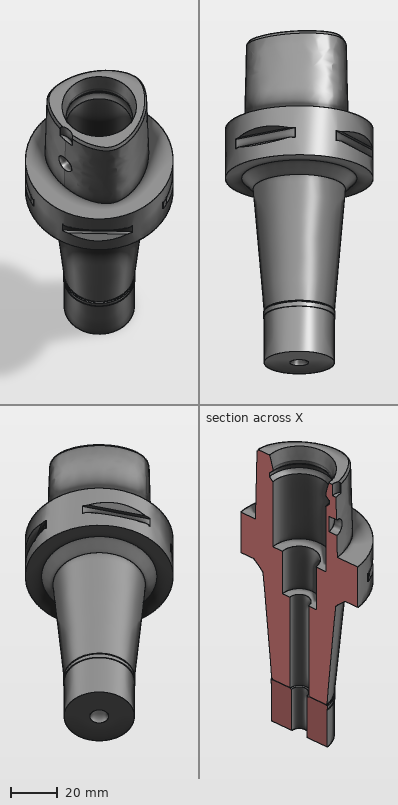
import cadquery as cq
import math

LENGTH = 143.0
FLANGE_TOP = 105.0
FLANGE_HEIGHT = 22.0
FLANGE_BOTTOM = FLANGE_TOP - FLANGE_HEIGHT
COLLAR_HEIGHT = 4.9
COLLAR_BOTTOM = FLANGE_BOTTOM - COLLAR_HEIGHT
NECK_TOP = 23.0
NUT_TOP = 22.5

FLANGE_RADIUS = 63.0 / 2
SHANK_TOP_RADIUS = 19.7
COLLAR_RADIUS = SHANK_TOP_RADIUS + COLLAR_HEIGHT
SHANK_END_RADIUS = 15.0
NECK_RADIUS = 14.6

LOBE_BASE_RADIUS = 22.2
LOBE_TOP_RADIUS = 21.3
LOBE_ECCENTRICITY = 1.6
HALF_OUTLINE_STEPS = 18
RIM_CHAMFER_HEIGHT = 1.5
RIM_CHAMFER_INSET = 0.9

MOUTH_RADIUS = 15.9
BORE_RADIUS = 14.2
MOUTH_ANGLE = 15.0
MOUTH_DEPTH = (MOUTH_RADIUS - BORE_RADIUS) / math.tan(math.radians(MOUTH_ANGLE))
GROOVE_START = 8.0
GROOVE_END = 13.6
GROOVE_RADIUS = 16.0
GROOVE_BEVEL = GROOVE_RADIUS - BORE_RADIUS
BORE_DEPTH = 48.6
BOLT_BORE_RADIUS = 9.0
BOLT_BORE_DEPTH = 71.5
PASSAGE_RADIUS = 5.0

NOTCH_WIDTH = 7.5
NOTCH_DEPTH = 6.0
NOTCH_WALL_RADIUS = 6.0
NOTCH_INNER_Y = -17.9
SIDE_HOLE_RADIUS = 4.0
SIDE_HOLE_Z = 120.7
SIDE_HOLE_FLOOR_Y = -16.0

SLOT_COUNT = 4
SLOT_FIRST_ANGLE = 45.0
SLOT_LENGTH = 29.9
SLOT_HEIGHT = 4.3
SLOT_Z = 93.1
SLOT_FLOOR_RADIUS = 27.5
SLOT_FLARE_RADIUS = 28.9
SLOT_FLARE_ANGLE = 33.0

NUT_RADIUS = 15.0
NUT_COLLAR_RADIUS = 15.3
NUT_COLLAR_HEIGHT = 2.1
NUT_BORE_RADIUS = 4.0


def lobed_edges(mean_radius, z):
    """Two halves of a three-lobed outline with one lobe toward +Y, split on the YZ plane."""
    def point(angle):
        lobe_phase = 3 * (angle - math.pi / 2)
        support = mean_radius + LOBE_ECCENTRICITY * math.cos(lobe_phase)
        slope = -3 * LOBE_ECCENTRICITY * math.sin(lobe_phase)
        x = support * math.cos(angle) - slope * math.sin(angle)
        y = support * math.sin(angle) + slope * math.cos(angle)
        return cq.Vector(x, y, z)

    step = math.pi / HALF_OUTLINE_STEPS
    points = [point(-math.pi / 2 + i * step) for i in range(HALF_OUTLINE_STEPS + 1)]
    right_half = cq.Edge.makeSpline(points, tangents=[cq.Vector(1, 0, 0), cq.Vector(-1, 0, 0)])
    return [right_half, right_half.mirror("YZ")]


def make_coupling():
    """Tapered three-lobed shank with a chamfered rim, closed from ruled and flat faces."""
    base = lobed_edges(LOBE_BASE_RADIUS, FLANGE_TOP)
    shoulder = lobed_edges(LOBE_TOP_RADIUS, LENGTH - RIM_CHAMFER_HEIGHT)
    rim = lobed_edges(LOBE_TOP_RADIUS - RIM_CHAMFER_INSET, LENGTH)
    faces = [cq.Face.makeFromWires(cq.Wire.assembleEdges(edges)) for edges in (base, rim)]
    for lower, upper in ((base, shoulder), (shoulder, rim)):
        for lower_edge, upper_edge in zip(lower, upper):
            faces.append(cq.Face.makeRuledSurface(lower_edge, upper_edge))
    return cq.Workplane(cq.Solid.makeSolid(cq.Shell.makeShell(faces)).fix())


def revolve_profile(points):
    """Solid of revolution about Z from (radius, z) points."""
    return cq.Workplane("XZ").polyline(points).close().revolve(360, (0, 0), (0, 1))


def make_turned_body():
    """Flange, 45 degree collar, tapered shank and short neck."""
    return revolve_profile([
        (0, NUT_TOP),
        (NECK_RADIUS, NUT_TOP),
        (NECK_RADIUS, NECK_TOP),
        (SHANK_END_RADIUS, NECK_TOP),
        (SHANK_TOP_RADIUS, COLLAR_BOTTOM),
        (COLLAR_RADIUS, FLANGE_BOTTOM),
        (FLANGE_RADIUS, FLANGE_BOTTOM),
        (FLANGE_RADIUS, FLANGE_TOP),
        (0, FLANGE_TOP),
    ])


def make_bore():
    """Stepped bore with a conical mouth and a bevelled internal groove."""
    return revolve_profile([
        (0, LENGTH),
        (MOUTH_RADIUS, LENGTH),
        (BORE_RADIUS, LENGTH - MOUTH_DEPTH),
        (BORE_RADIUS, LENGTH - GROOVE_START),
        (GROOVE_RADIUS, LENGTH - GROOVE_START - GROOVE_BEVEL),
        (GROOVE_RADIUS, LENGTH - GROOVE_END + GROOVE_BEVEL),
        (BORE_RADIUS, LENGTH - GROOVE_END),
        (BORE_RADIUS, LENGTH - BORE_DEPTH),
        (BOLT_BORE_RADIUS, LENGTH - BORE_DEPTH),
        (BOLT_BORE_RADIUS, LENGTH - BOLT_BORE_DEPTH),
        (PASSAGE_RADIUS, LENGTH - BOLT_BORE_DEPTH),
        (PASSAGE_RADIUS, NUT_TOP),
        (0, NUT_TOP),
    ])


def make_key_notch():
    """Straight-sided notch with a cylindrical inner wall."""
    floor_z = LENGTH - NOTCH_DEPTH
    center_y = NOTCH_INNER_Y - NOTCH_WALL_RADIUS
    wall = (cq.Workplane("XY", origin=(0, center_y, floor_z))
            .circle(NOTCH_WALL_RADIUS).extrude(NOTCH_DEPTH))
    sides = (cq.Workplane("XY", origin=(0, center_y, floor_z))
             .rect(NOTCH_WIDTH, 2 * NOTCH_WALL_RADIUS).extrude(NOTCH_DEPTH))
    return wall.intersect(sides)


def make_side_hole():
    """Blind flat-bottomed hole entering from -Y."""
    return (cq.Workplane("XZ", origin=(0, SIDE_HOLE_FLOOR_Y, SIDE_HOLE_Z))
            .circle(SIDE_HOLE_RADIUS).extrude(FLANGE_RADIUS + SIDE_HOLE_FLOOR_Y))


def make_gripper_slot(angle):
    """Flat-bottomed slot whose flanks flare outward, facing the given angle."""
    half = SLOT_HEIGHT / 2
    flare_length = FLANGE_RADIUS - SLOT_FLARE_RADIUS
    outer_half = half + flare_length * math.tan(math.radians(SLOT_FLARE_ANGLE))
    return (cq.Workplane("XZ", origin=(0, 0, SLOT_Z))
            .polyline([
                (SLOT_FLOOR_RADIUS, -half),
                (SLOT_FLARE_RADIUS, -half),
                (FLANGE_RADIUS, -outer_half),
                (FLANGE_RADIUS, outer_half),
                (SLOT_FLARE_RADIUS, half),
                (SLOT_FLOOR_RADIUS, half),
            ])
            .close()
            .extrude(SLOT_LENGTH / 2, both=True)
            .rotate((0, 0, 0), (0, 0, 1), angle))


def make_holder():
    """Tool holder: lobed coupling, gripper flange and tapered shank."""
    holder = make_turned_body().union(make_coupling())
    holder = holder.cut(make_bore()).cut(make_key_notch()).cut(make_side_hole())
    for index in range(SLOT_COUNT):
        holder = holder.cut(make_gripper_slot(SLOT_FIRST_ANGLE + index * 360 / SLOT_COUNT))
    return holder


def make_nut():
    """Clamping nut with a slightly raised collar at its upper end."""
    collar_z = NUT_TOP - NUT_COLLAR_HEIGHT
    return revolve_profile([
        (NUT_BORE_RADIUS, 0),
        (NUT_RADIUS, 0),
        (NUT_RADIUS, collar_z),
        (NUT_COLLAR_RADIUS, collar_z),
        (NUT_COLLAR_RADIUS, NUT_TOP),
        (NUT_BORE_RADIUS, NUT_TOP),
    ])


holder = make_holder()
nut = make_nut()
result = cq.Compound.makeCompound([holder.val(), nut.val()])